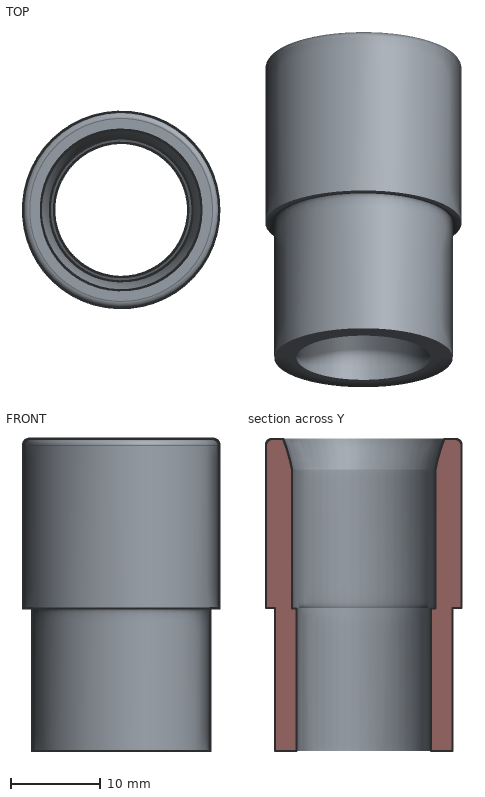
import cadquery as cq

total_height = 35.0
head_diameter = 22.0
head_height = 19.0
spigot_diameter = 20.0
rim_fillet = 0.75

socket_diameter = 16.0
through_diameter = 15.0
mouth_diameter = 18.0
mouth_depth = 3.5
mouth_arc_radius = 20.0

shoulder_z = total_height - head_height


def make_body():
    """Spigot with a wider head on top, the head's upper rim rounded."""
    spigot = cq.Workplane("XY").circle(spigot_diameter / 2).extrude(shoulder_z)
    head = (
        cq.Workplane("XY")
        .workplane(offset=shoulder_z)
        .circle(head_diameter / 2)
        .extrude(head_height)
        .faces(">Z")
        .edges()
        .fillet(rim_fillet)
    )
    return spigot.union(head)


def make_bore():
    """Through bore, wider socket above the ledge, and a curved lead-in at the mouth."""
    through_radius = through_diameter / 2
    socket_radius = socket_diameter / 2
    mouth_radius = mouth_diameter / 2
    mouth_base_z = total_height - mouth_depth
    return (
        cq.Workplane("XZ")
        .lineTo(through_radius, 0)
        .lineTo(through_radius, shoulder_z)
        .lineTo(socket_radius, shoulder_z)
        .lineTo(socket_radius, mouth_base_z)
        .radiusArc((mouth_radius, total_height), mouth_arc_radius)
        .lineTo(0, total_height)
        .close()
        .revolve(360, (0, 0, 0), (0, 1, 0))
    )


result = make_body().cut(make_bore())